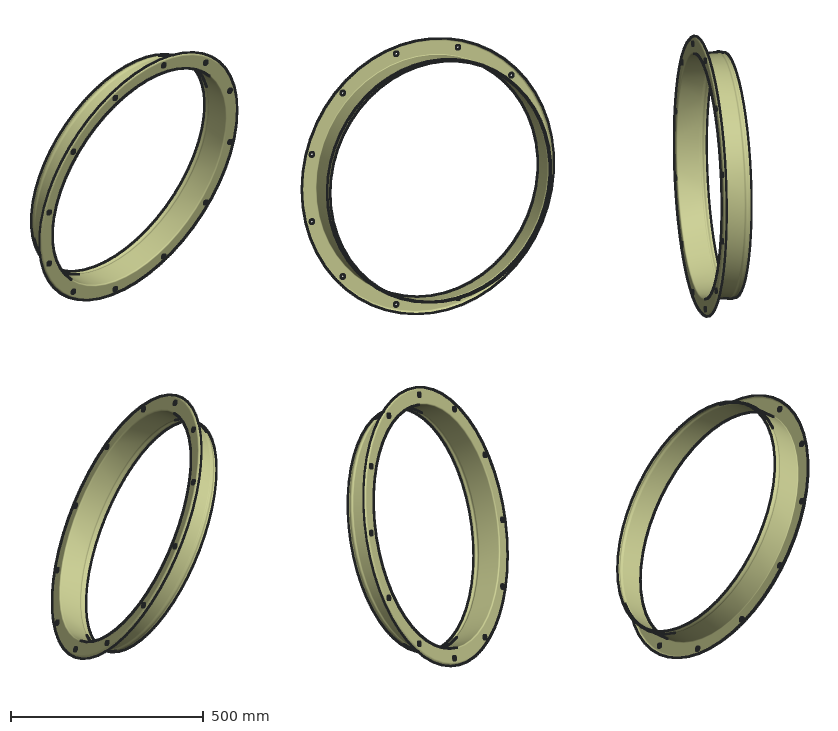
import cadquery as cq
import math

outer_radius = 365.0
length = 80.0
sheet = 1.5

tube_radius = 320.0
bead_center = 12.5
bead_half_width = 6.5
crest_half_width = 4.0
bead_height = 2.0

tube_bend_radius = 2.0
rim_bend_radius = 4.5
rim_depth = 6.5

hole_count = 12
hole_diameter = 12.0
hole_circle_radius = 344.5
first_hole_angle = 15.0

bead_slope = 2 * math.degrees(math.atan(bead_height / bead_half_width))
crest_radius = crest_half_width / math.sin(math.radians(bead_slope))
blend_radius = (bead_half_width - crest_half_width) / math.sin(math.radians(bead_slope))
crest_center = (bead_center, tube_radius + bead_height - crest_radius)
front_blend_center = (bead_center - bead_half_width, tube_radius + blend_radius)
rear_blend_center = (bead_center + bead_half_width, tube_radius + blend_radius)

plate_front = length - sheet
tube_bend_center = (plate_front - tube_bend_radius, tube_radius + tube_bend_radius)
diagonal = math.sqrt(0.5)
rim_angle = 45
rim_tip_x = length - rim_depth + sheet * diagonal
rim_bend_x = plate_front - rim_bend_radius
rim_outer_bend = (rim_bend_radius + sheet) * diagonal
rim_bend_r = outer_radius - (rim_bend_x + rim_outer_bend - rim_tip_x) - rim_outer_bend
rim_bend_center = (rim_bend_x, rim_bend_r)


def polar_point(center, radius, angle):
    """Point on a circle, with the angle in degrees from +X."""
    turn = math.radians(angle)
    return (center[0] + radius * math.cos(turn), center[1] + radius * math.sin(turn))


def add_arc(path, center, radius, start, end):
    """Run straight to the start of an arc if needed, then follow the arc."""
    first = polar_point(center, radius, start)
    position = path.val().endPoint()
    if (position - cq.Vector(*first)).Length > 7.3e-06:
        path = path.lineTo(*first)
    middle = polar_point(center, radius, (start + end) / 2)
    return path.threePointArc(middle, polar_point(center, radius, end))


def make_ring():
    """Revolve the formed sheet section about X; section coordinates are (x, radius)."""
    outer_arcs = [
        (front_blend_center, blend_radius, -90, -90 + bead_slope),
        (crest_center, crest_radius, 90 + bead_slope, 90 - bead_slope),
        (rear_blend_center, blend_radius, -90 - bead_slope, -90),
        (tube_bend_center, tube_bend_radius, -90, 0),
        (rim_bend_center, rim_bend_radius, 0, rim_angle),
    ]
    inner_arcs = [
        (rim_bend_center, rim_bend_radius + sheet, rim_angle, 0),
        (tube_bend_center, tube_bend_radius + sheet, 0, -90),
        (rear_blend_center, blend_radius + sheet, -90, -90 - bead_slope),
        (crest_center, crest_radius - sheet, 90 - bead_slope, 90 + bead_slope),
        (front_blend_center, blend_radius + sheet, -90 + bead_slope, -90),
    ]
    path = cq.Workplane("XY").moveTo(0, tube_radius - sheet).lineTo(0, tube_radius)
    for arc in outer_arcs:
        path = add_arc(path, *arc)
    path = path.lineTo(length - rim_depth, outer_radius - sheet * diagonal)
    path = path.lineTo(rim_tip_x, outer_radius)
    for arc in inner_arcs:
        path = add_arc(path, *arc)
    return path.close().revolve(360, (0, 0, 0), (1, 0, 0))


def make_bolt_holes():
    """Pins along X, evenly spaced on the bolt circle."""
    return (
        cq.Workplane("YZ")
        .polarArray(hole_circle_radius, first_hole_angle, 360, hole_count)
        .circle(hole_diameter / 2)
        .extrude(length)
    )


result = make_ring().cut(make_bolt_holes())